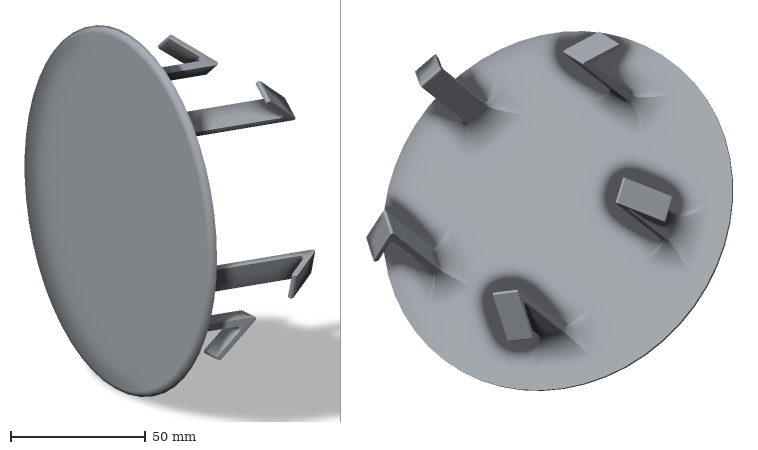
import cadquery as cq
import math

plate_diameter = 140.0
plate_thickness = 3.0
plate_edge_radius = 2.4
total_depth = 57.8

clip_count = 5
first_clip_angle = 90.0
clip_width = 10.0
clip_side_offset = 0.7
stem_inner_radius = 48.3
stem_thickness = 2.7
stem_foot_fillet = 8.0

barb_angle = 41.5
barb_thickness = 2.1
barb_length = 21.0
barb_end_rounding = 1.0
clip_end_flat = 1.1
clip_end_rounding = 0.7
crotch_depth = 6.7


def make_plate():
    disc = cq.Workplane("XZ").circle(plate_diameter / 2).extrude(-plate_thickness)
    return disc.faces("<Y").edges().fillet(plate_edge_radius)


def make_clip():
    """Clip pointing along +Y, with its barb leaning toward +X."""
    along_x = math.sin(math.radians(barb_angle))
    along_y = -math.cos(math.radians(barb_angle))
    stem_outer_radius = stem_inner_radius + stem_thickness
    barb_start_x = stem_inner_radius + clip_end_flat
    outer_tip = (barb_start_x + barb_length * along_x, total_depth + barb_length * along_y)
    inner_tip = (outer_tip[0] + barb_thickness * along_y, outer_tip[1] - barb_thickness * along_x)
    crotch_y = total_depth - crotch_depth
    crotch_x = inner_tip[0] + (crotch_y - inner_tip[1]) * along_x / along_y

    clip = (
        cq.Workplane("XY")
        .moveTo(stem_inner_radius, plate_thickness / 2)
        .lineTo(stem_inner_radius, total_depth)
        .lineTo(barb_start_x, total_depth)
        .lineTo(*outer_tip)
        .lineTo(*inner_tip)
        .lineTo(crotch_x, crotch_y)
        .lineTo(stem_outer_radius, crotch_y)
        .lineTo(stem_outer_radius, plate_thickness / 2)
        .close()
        .extrude(clip_width / 2, both=True)
    )
    for tip in (outer_tip, inner_tip):
        clip = clip.edges(cq.NearestToPointSelector((*tip, 0))).fillet(barb_end_rounding)
    end_corner = (stem_inner_radius, total_depth, 0)
    return clip.edges(cq.NearestToPointSelector(end_corner)).fillet(clip_end_rounding)


def fillet_stem_feet(body):
    """Blend the straight stem edges that lie on the plate's back face."""
    reach = plate_diameter / 2
    slab = 0.1
    on_back_face = cq.selectors.BoxSelector(
        (-reach, plate_thickness - slab, -reach),
        (reach, plate_thickness + slab, reach),
    )
    straight = cq.selectors.StringSyntaxSelector("%LINE")
    return body.edges(cq.selectors.AndSelector(on_back_face, straight)).fillet(stem_foot_fillet)


result = make_plate()
clip = make_clip().translate((0, 0, -clip_side_offset))
for index in range(clip_count):
    angle = first_clip_angle + index * 360 / clip_count
    result = result.union(clip.rotate((0, 0, 0), (0, 1, 0), angle))
result = fillet_stem_feet(result)